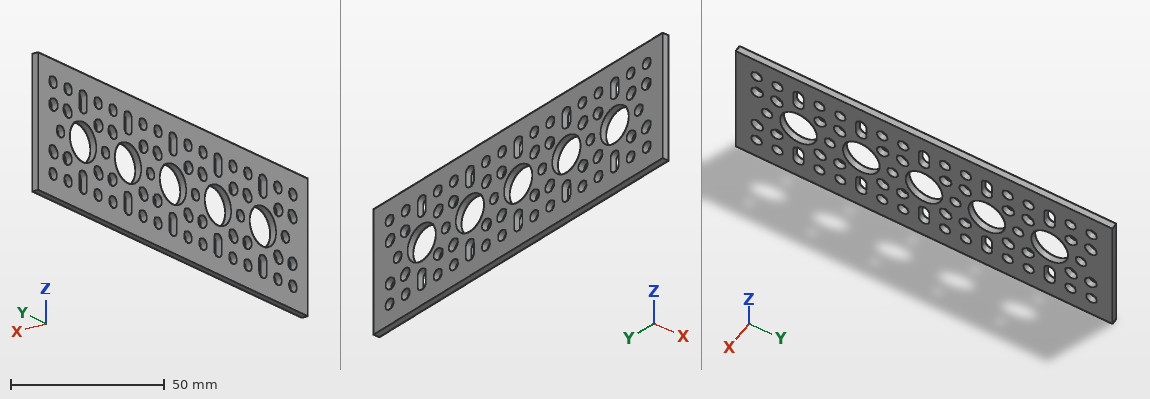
import cadquery as cq
import math

thickness = 2.5
length = 144.0
height = 48.0

pitch = 24.0
grid = 8.0
large_diameter = 14.0
small_diameter = 4.0
cells = round(length / pitch)

slot_length = 8.0
outer_row_z = 2 * grid
slot_center_z = outer_row_z + small_diameter / 2 - slot_length / 2

bolt_circle_radius = 12.0
bolt_offset = bolt_circle_radius * math.sqrt(0.5)
diagonal_center = (grid + bolt_offset) / 2
diagonal_angle = 45
diagonal_length = small_diameter + (bolt_offset - grid) * math.sqrt(2)

large_ys = [(i - (cells - 2) / 2) * pitch for i in range(cells - 1)]
small_ys = [(i - (cells - 1) / 2) * pitch for i in range(cells)]


def left_face():
    """Sketch plane on the -X face of the plate, with the plate centered on the origin."""
    return cq.Workplane("YZ").workplane(offset=-thickness / 2)


def make_plate():
    """Plain rectangular plate."""
    return left_face().rect(length, height).extrude(thickness)


def cut_round(plate, points, diameter):
    """Cut round through holes at the given (Y, Z) points."""
    cutter = left_face().pushPoints(points).circle(diameter / 2).extrude(thickness)
    return plate.cut(cutter)


def cut_slots(plate, points, slot_size, angle):
    """Cut round-ended through slots, tilted by angle from +Y towards +Z."""
    cutter = (
        left_face()
        .pushPoints(points)
        .slot2D(slot_size, small_diameter, angle)
        .extrude(thickness)
    )
    return plate.cut(cutter)


def cut_center_row(plate):
    """Large holes with a small hole midway between neighbours and beyond each end."""
    plate = cut_round(plate, [(y, 0) for y in large_ys], large_diameter)
    return cut_round(plate, [(y, 0) for y in small_ys], small_diameter)


def cut_outer_rows(plate):
    """Pairs of round holes alternating with vertical slots, above and below."""
    half_gap = (pitch - 2 * grid) / 2
    holes = [
        (y + side * half_gap, level * outer_row_z)
        for y in small_ys
        for side in (-1, 1)
        for level in (-1, 1)
    ]
    slots = [(y, level * slot_center_z) for y in large_ys for level in (-1, 1)]
    plate = cut_round(plate, holes, small_diameter)
    return cut_slots(plate, slots, slot_length, 90)


def cut_diagonal_slots(plate):
    """Short diagonal slots aimed at the pattern centers, four around every small hole."""
    half_gap = pitch / 2 - diagonal_center
    for side in (-1, 1):
        for level in (-1, 1):
            points = [(y + side * half_gap, level * diagonal_center) for y in small_ys]
            plate = cut_slots(plate, points, diagonal_length, -side * level * diagonal_angle)
    return plate


result = cut_diagonal_slots(cut_outer_rows(cut_center_row(make_plate())))